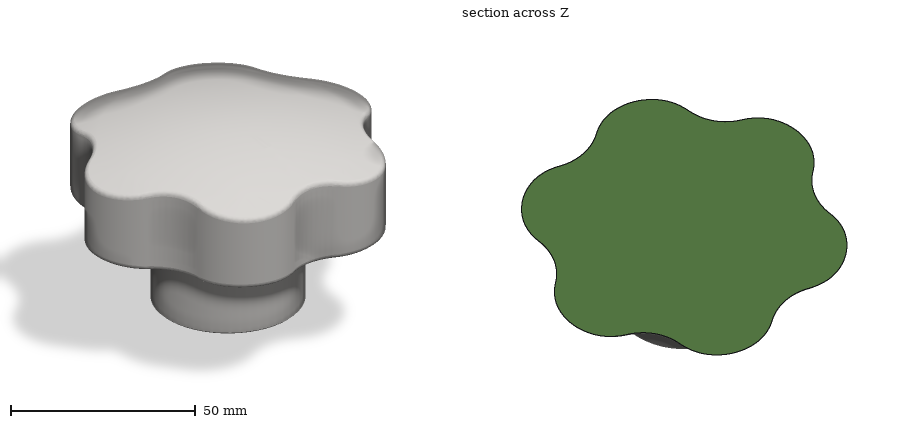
import cadquery as cq
import math

overall_height = 55.0
tip_radius = 45.0

lobe_count = 6
lobe_radius = 15.1
valley_radius = lobe_radius

hub_diameter = 42.0
hub_length = 26.0
hub_chamfer = 0.45

dome_radius = 150.3
flat_radius = 35.1
rim_rise = 1.4
edge_fillet = 1.4

rim_margin = 0.9

half_pitch = math.pi / lobe_count
lobe_center = tip_radius - lobe_radius
center_offset = lobe_center * math.sin(half_pitch)
valley_center = lobe_center * math.cos(half_pitch) + math.sqrt(
    (lobe_radius + valley_radius) ** 2 - center_offset**2
)
valley_bottom = valley_center - valley_radius
tangent_fraction = lobe_radius / (lobe_radius + valley_radius)


def polar(radius, angle):
    return (radius * math.cos(angle), radius * math.sin(angle))


def tangent_point(lobe_angle, side):
    """Point where a lobe meets the valley on the given side (+1 or -1)."""
    lobe = polar(lobe_center, lobe_angle)
    valley = polar(valley_center, lobe_angle + side * half_pitch)
    return tuple(a + tangent_fraction * (b - a) for a, b in zip(lobe, valley))


def scalloped_prism():
    first_angle = math.pi / 2
    outline = cq.Workplane("XY").moveTo(*tangent_point(first_angle, -1))
    for i in range(lobe_count):
        angle = first_angle + 2 * half_pitch * i
        next_angle = angle + 2 * half_pitch
        outline = outline.threePointArc(polar(tip_radius, angle), tangent_point(angle, 1))
        outline = outline.threePointArc(
            polar(valley_bottom, angle + half_pitch), tangent_point(next_angle, -1)
        )
    return outline.close().extrude(overall_height)


def turned_envelope():
    """Body of revolution that gives the head its dome and underside."""
    outer_radius = tip_radius + edge_fillet
    dome_drop = dome_radius - math.sqrt(dome_radius**2 - outer_radius**2)
    rim_top = overall_height - dome_drop
    return (
        cq.Workplane("XZ")
        .moveTo(0, hub_length)
        .lineTo(flat_radius, hub_length)
        .tangentArcPoint((outer_radius, hub_length + rim_rise), relative=False)
        .lineTo(outer_radius, rim_top)
        .radiusArc((0, overall_height), -dome_radius)
        .close()
        .revolve(360, (0, 0, 0), (0, 1, 0))
    )


def is_rim_edge(edge):
    middle = edge.positionAt(0.5)
    return math.hypot(middle.x, middle.y) > flat_radius + rim_margin


def make_head():
    head = scalloped_prism().intersect(turned_envelope())
    rim_edges = head.edges("not |Z").filter(is_rim_edge)
    return rim_edges.fillet(edge_fillet)


def make_hub():
    hub = cq.Workplane("XY").circle(hub_diameter / 2).extrude(hub_length)
    return hub.faces("<Z").chamfer(hub_chamfer)


result = make_head().union(make_hub())